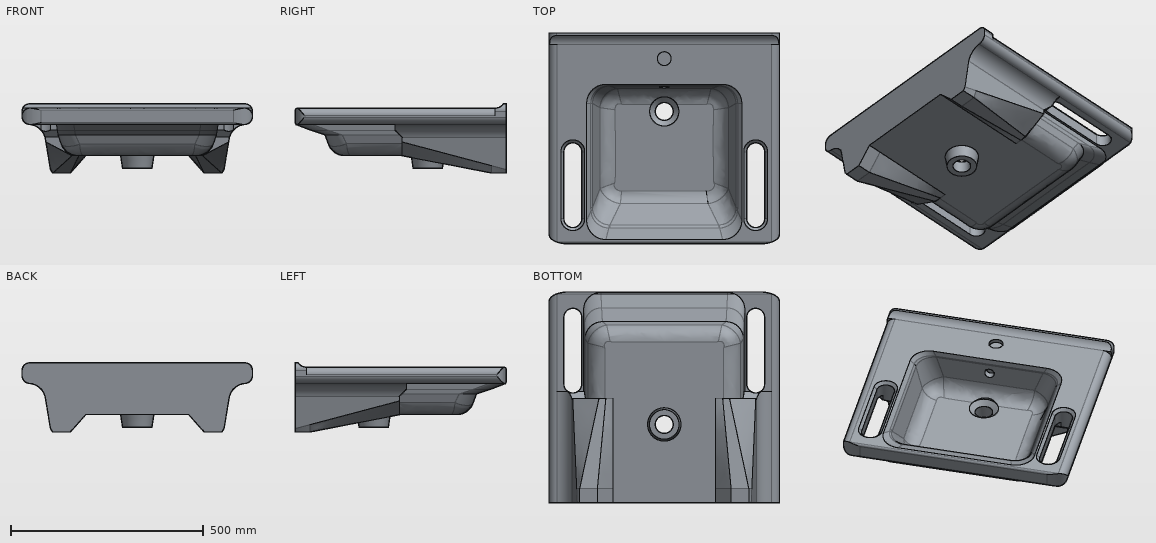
import cadquery as cq
import math


WIDTH = 600.21
DEPTH = 549.51
HEIGHT = 180.73
UPSTAND_HEIGHT = 11.4
RIM_THICKNESS = 43.0
HALF_WIDTH = WIDTH / 2
LEG_BOTTOM = UPSTAND_HEIGHT - HEIGHT
BODY_BOTTOM = -124.0

SIDE_ROUND_WIDTH = 21.0
FRONT_CORNER_X = 50.0
FRONT_CORNER_Y = 25.0
FRONT_EDGE_RADIUS = 5.5
MID_EDGE_Z = -19.0

UPSTAND_TOP_DEPTH = 7.0
UPSTAND_FOOT_DEPTH = 30.0
UPSTAND_CORNER_RADIUS = 20.0

APRON_HALF_WIDTH = 240.0
APRON_BOTTOM = -77.0
APRON_CURVE = (250.0, -58.0)
APRON_END_Y = -290.0
APRON_END_CHAMFER = 20.0

LEG_FLAT_DEPTH = 38.0
LEG_FRONT_Y = -272.0
LEG_INNER_X = 134.0
LEG_FOOT_INNER_X = 174.0
LEG_FOOT_OUTER_X = 220.0
LEG_SIDE_DRAFT = 9.4
LEG_SIDE_BOTTOM_WALL = -160.0
LEG_SIDE_BOTTOM_FOOT = -150.0
LEG_SIDE_BOTTOM_FRONT = -88.0
LEG_FRONT_OUTER_X = 170.0

DRAIN_Y = -204.5
DRAIN_BOTTOM = -157.0
DRAIN_BOTTOM_DIAMETER = 77.0
DRAIN_TOP_DIAMETER = 87.0
DRAIN_HOLE_DIAMETER = 46.0
DRAIN_SEAT_DIAMETER = 76.0
DRAIN_SEAT_DEPTH = 12.0
TAP_HOLE_Y = -67.0
TAP_HOLE_DIAMETER = 36.0
TAP_HOLE_DEPTH = 10.0
OVERFLOW_DIAMETER = 25.0
OVERFLOW_Z = -40.0
OVERFLOW_END_Y = -125.0

SLOT_X = 238.0
SLOT_Y = -396.5
SLOT_LENGTH = 220.0
SLOT_WIDTH = 46.0
SLOT_LIP = 8.0
SLOT_CHAMFER = 7.9

BOWL_FLOOR_Z = -108.0
BOWL_LIP_Z = -14.0
BOWL_OPENING = (0.0, 202.0, -134.0, -538.0, 50.0)
BOWL_LIP = (BOWL_LIP_Z, 188.0, -138.0, -503.0, 45.0)
BOWL_FLOOR = (BOWL_FLOOR_Z, 158.0, -150.0, -432.0, 50.0)
BOWL_FLOOR_RADIUS = 42.0
BOWL_LIP_RADIUS = 20.0

FLANGE_TOP = (-RIM_THICKNESS, 210.0, 0.0, -548.0, 45.0)
FLANGE_MIDDLE = (-58.0, 208.0, 0.0, -508.0, 45.0)
SHELL_TOP = (-70.0, 206.0, 0.0, -472.0, 45.0)
SHELL_BOTTOM = (BODY_BOTTOM, 188.0, 0.0, -452.0, 52.0)
SHELL_RADIUS = 47.0


def rounded_section(z, half_width, back, front, radius, round_back):
    """Wire of a level section with rounded front corners and, if asked, rounded back corners."""
    corners = "|Z" if round_back else "|Z and <Y"
    block = cq.Workplane("XY", origin=(0, (back + front) / 2, z)).rect(2 * half_width, back - front)
    block = block.extrude(1.0).edges(corners).fillet(radius)
    return block.faces("<Z").wires().val()


def tapered_solid(upper, lower, round_back):
    """Solid with straight walls between two level sections."""
    wires = [rounded_section(*section, round_back) for section in (upper, lower)]
    return cq.Workplane("XY").add(cq.Solid.makeLoft(wires, True))


def make_shell():
    """Outside of the bowl with a sloping front flange above a rounded belly."""
    belly = tapered_solid(SHELL_TOP, SHELL_BOTTOM, False)
    belly = belly.faces("<Z").edges("not >Y").fillet(SHELL_RADIUS)
    flange = tapered_solid(FLANGE_TOP, FLANGE_MIDDLE, False)
    return flange.union(tapered_solid(FLANGE_MIDDLE, SHELL_TOP, False)).union(belly)


def make_bowl():
    """Inside of the bowl with a shallow lip, steep walls and a rounded floor edge."""
    basin = tapered_solid(BOWL_LIP, BOWL_FLOOR, True).faces("<Z").edges().fillet(BOWL_FLOOR_RADIUS)
    bowl = basin.union(tapered_solid(BOWL_OPENING, BOWL_LIP, True))
    lip_edges = cq.selectors.BoxSelector((-WIDTH, -DEPTH, BOWL_LIP_Z - 1), (WIDTH, 0, BOWL_LIP_Z + 1))
    return bowl.edges(lip_edges).fillet(BOWL_LIP_RADIUS)


def make_rim():
    """Deck slab with fully rounded sides and swept front corners."""
    inner = HALF_WIDTH - SIDE_ROUND_WIDTH
    side_profile = (
        cq.Workplane("XZ")
        .moveTo(-inner, 0)
        .lineTo(inner, 0)
        .threePointArc((HALF_WIDTH, MID_EDGE_Z), (inner, -RIM_THICKNESS))
        .lineTo(-inner, -RIM_THICKNESS)
        .threePointArc((-HALF_WIDTH, MID_EDGE_Z), (-inner, 0))
        .close()
        .extrude(DEPTH)
    )
    start_y = -DEPTH + FRONT_CORNER_Y
    end_x = HALF_WIDTH - FRONT_CORNER_X
    outline = (
        cq.Workplane("XY", origin=(0, 0, -RIM_THICKNESS))
        .moveTo(-HALF_WIDTH, 0)
        .lineTo(-HALF_WIDTH, start_y)
        .ellipseArc(FRONT_CORNER_X, FRONT_CORNER_Y, 180, 270, sense=1)
        .lineTo(end_x, -DEPTH)
        .ellipseArc(FRONT_CORNER_X, FRONT_CORNER_Y, 270, 360, sense=1)
        .lineTo(HALF_WIDTH, 0)
        .close()
        .extrude(RIM_THICKNESS)
    )
    front_profile = (
        cq.Workplane("YZ", origin=(-HALF_WIDTH, 0, 0))
        .center(-DEPTH / 2, -RIM_THICKNESS / 2)
        .rect(DEPTH, RIM_THICKNESS)
        .extrude(WIDTH)
        .faces("<Y")
        .edges("|X")
        .fillet(FRONT_EDGE_RADIUS)
    )
    return side_profile.intersect(outline).intersect(front_profile)


def make_upstand():
    """Low ledge along the wall with a hollow front and rounded ends."""
    run = UPSTAND_FOOT_DEPTH - UPSTAND_TOP_DEPTH
    hollow_radius = (run**2 + UPSTAND_HEIGHT**2) / (2 * UPSTAND_HEIGHT)
    ledge = (
        cq.Workplane("YZ", origin=(-HALF_WIDTH, 0, 0))
        .moveTo(0, MID_EDGE_Z)
        .lineTo(0, UPSTAND_HEIGHT)
        .lineTo(-UPSTAND_TOP_DEPTH, UPSTAND_HEIGHT)
        .radiusArc((-UPSTAND_FOOT_DEPTH, 0), hollow_radius)
        .lineTo(-UPSTAND_FOOT_DEPTH, MID_EDGE_Z)
        .close()
        .extrude(WIDTH)
    )
    ends = (
        cq.Workplane("XZ", origin=(0, 0, (UPSTAND_HEIGHT + MID_EDGE_Z) / 2))
        .rect(WIDTH, UPSTAND_HEIGHT - MID_EDGE_Z)
        .extrude(UPSTAND_FOOT_DEPTH)
        .edges("|Y and >Z")
        .fillet(UPSTAND_CORNER_RADIUS)
    )
    return ledge.intersect(ends)


def make_apron():
    """Flared underside of the deck beside the bowl, sloping off towards the grab slots."""
    flare_x = HALF_WIDTH - SIDE_ROUND_WIDTH
    curve_x, curve_z = APRON_CURVE
    flare = (
        cq.Workplane("XZ")
        .moveTo(-flare_x, -RIM_THICKNESS)
        .lineTo(flare_x, -RIM_THICKNESS)
        .threePointArc((curve_x, curve_z), (APRON_HALF_WIDTH, APRON_BOTTOM))
        .lineTo(-APRON_HALF_WIDTH, APRON_BOTTOM)
        .threePointArc((-curve_x, curve_z), (-flare_x, -RIM_THICKNESS))
        .close()
        .extrude(-APRON_END_Y)
    )
    return flare.faces("<Z").edges("<Y").chamfer(APRON_END_CHAMFER)


def leg_side_x(z):
    """X of the drafted outer side of the left leg at height z."""
    return -APRON_HALF_WIDTH + (APRON_BOTTOM - z) * math.tan(math.radians(LEG_SIDE_DRAFT))


def leg_section(y, side_bottom, foot_outer_x, foot_inner_x, foot_z):
    """Upright section of the left leg at depth y."""
    points = [
        (-LEG_INNER_X, -RIM_THICKNESS),
        (-APRON_HALF_WIDTH, -RIM_THICKNESS),
        (-APRON_HALF_WIDTH, APRON_BOTTOM),
        (leg_side_x(side_bottom), side_bottom),
        (-foot_outer_x, foot_z),
        (-foot_inner_x, foot_z),
        (-LEG_INNER_X, BODY_BOTTOM),
    ]
    return cq.Wire.makePolygon([cq.Vector(x, y, z) for x, z in points], close=True)


def make_leg():
    """Left wall leg: a level foot at the wall, then a taper into the bowl shell."""
    front_inner_x = (LEG_INNER_X + LEG_FRONT_OUTER_X) / 2
    wall = leg_section(0, LEG_SIDE_BOTTOM_WALL, LEG_FOOT_OUTER_X, LEG_FOOT_INNER_X, LEG_BOTTOM)
    foot = leg_section(
        -LEG_FLAT_DEPTH, LEG_SIDE_BOTTOM_FOOT, LEG_FOOT_OUTER_X, LEG_FOOT_INNER_X, LEG_BOTTOM
    )
    front = leg_section(LEG_FRONT_Y, LEG_SIDE_BOTTOM_FRONT, LEG_FRONT_OUTER_X, front_inner_x, BODY_BOTTOM)
    level_part = cq.Workplane("XY").add(cq.Solid.makeLoft([wall, foot], True))
    return level_part.union(cq.Workplane("XY").add(cq.Solid.makeLoft([foot, front], True)))


def make_drain_boss():
    """Tapered outlet spigot below the bowl."""
    return cq.Workplane("XY").add(
        cq.Solid.makeCone(
            DRAIN_BOTTOM_DIAMETER / 2,
            DRAIN_TOP_DIAMETER / 2,
            BODY_BOTTOM - DRAIN_BOTTOM,
            pnt=cq.Vector(0, DRAIN_Y, DRAIN_BOTTOM),
        )
    )


def make_drain_hole():
    """Bore with a conical seat, cleared above the seat where the bowl wall curves in."""
    bore = (
        cq.Workplane("XY", origin=(0, DRAIN_Y, DRAIN_BOTTOM))
        .circle(DRAIN_HOLE_DIAMETER / 2)
        .extrude(BOWL_FLOOR_Z - DRAIN_BOTTOM)
    )
    seat = cq.Solid.makeCone(
        DRAIN_HOLE_DIAMETER / 2,
        DRAIN_SEAT_DIAMETER / 2,
        DRAIN_SEAT_DEPTH,
        pnt=cq.Vector(0, DRAIN_Y, BOWL_FLOOR_Z - DRAIN_SEAT_DEPTH),
    )
    clearance = (
        cq.Workplane("XY", origin=(0, DRAIN_Y, BOWL_FLOOR_Z))
        .circle(DRAIN_SEAT_DIAMETER / 2)
        .extrude(BOWL_FLOOR_RADIUS)
    )
    return bore.union(cq.Workplane("XY").add(seat)).union(clearance)


def make_tap_hole():
    """Shallow round recess for the tap."""
    return (
        cq.Workplane("XY", origin=(0, TAP_HOLE_Y, -TAP_HOLE_DEPTH))
        .circle(TAP_HOLE_DIAMETER / 2)
        .extrude(TAP_HOLE_DEPTH)
    )


def make_overflow():
    """Blind overflow hole in the back wall of the bowl."""
    bowl_back = BOWL_FLOOR[2]
    return (
        cq.Workplane("XZ", origin=(0, OVERFLOW_END_Y, OVERFLOW_Z))
        .circle(OVERFLOW_DIAMETER / 2)
        .extrude(OVERFLOW_END_Y - bowl_back)
    )


def make_grab_slot(x):
    """Through slot with a flared lip at the deck."""
    slot = (
        cq.Workplane("XY", origin=(x, SLOT_Y, BODY_BOTTOM))
        .slot2D(SLOT_LENGTH, SLOT_WIDTH, 90)
        .extrude(-BODY_BOTTOM)
    )
    flare = (
        cq.Workplane("XY", origin=(x, SLOT_Y, 0))
        .slot2D(SLOT_LENGTH + 2 * SLOT_LIP, SLOT_WIDTH + 2 * SLOT_LIP, 90)
        .extrude(-SLOT_LIP)
        .faces("<Z")
        .edges()
        .chamfer(SLOT_CHAMFER)
    )
    return slot.union(flare)


leg = make_leg()
result = make_rim().union(make_upstand()).union(make_apron())
result = result.union(make_shell())
result = result.union(leg).union(leg.mirror("YZ")).union(make_drain_boss())
result = result.cut(make_bowl())
result = result.cut(make_drain_hole()).cut(make_tap_hole()).cut(make_overflow())
for side in (-1, 1):
    result = result.cut(make_grab_slot(side * SLOT_X))